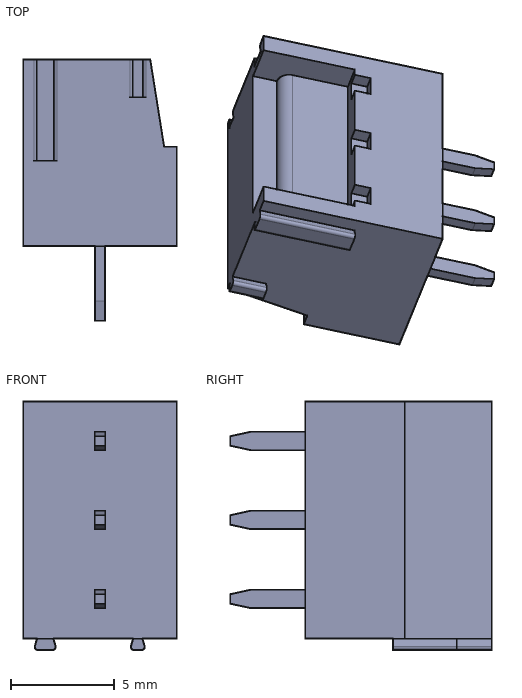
import cadquery as cq
import math

total_depth = 12.6
pin_length = 3.6
pin_pitch = 3.8
pin_count = 3
body_width = 7.4
body_depth = total_depth - pin_length
body_height = 11.43

open_face = body_depth
pin_levels = [body_height / 2 + (i - (pin_count - 1) / 2) * pin_pitch for i in range(pin_count)]

relief_depth = 4.2
relief_step = 0.6
relief_inset = 1.27

recess_wall = 1.0
recess_length = 4.59
recess_depth = 1.21
recess_round = 0.6
recess_deep_length = 1.2

window_reach = 0.8
window_height = 1.1
window_depth = 0.6

pin_thickness = 0.5
pin_height = 0.9
tip_height = 0.47
tip_length = 0.97

dovetail_height = 0.55
dovetail_flare = 0.16
rail_round = 0.15
lip_round = 0.14
groove_clearance = 0.05
large_dovetail = dict(centre=1.06, neck=0.8, groove_length=4.89)
small_dovetail = dict(centre=5.52, neck=0.45, groove_length=1.81)
length_clearance = 0.13


def make_body():
    outline = [
        (0, 0),
        (body_width, 0),
        (body_width, open_face - relief_depth),
        (body_width - relief_step, open_face - relief_depth),
        (body_width - relief_inset, open_face),
        (0, open_face),
    ]
    return cq.Workplane("XY").polyline(outline).close().extrude(body_height)


def make_recess():
    """Pocket whose floor rounds over into a deeper stretch at the open face."""
    deep_start = open_face - recess_deep_length
    deep_floor = recess_depth + recess_round
    arc_start = deep_start - recess_round
    arc_middle = (
        deep_floor - recess_round * math.cos(math.pi / 4),
        arc_start + recess_round * math.sin(math.pi / 4),
    )
    return (
        cq.Workplane("XY", origin=(0, 0, recess_wall))
        .moveTo(0, open_face - recess_length)
        .lineTo(recess_depth, open_face - recess_length)
        .lineTo(recess_depth, arc_start)
        .threePointArc(arc_middle, (deep_floor, deep_start))
        .lineTo(deep_floor, open_face)
        .lineTo(0, open_face)
        .close()
        .extrude(body_height - 2 * recess_wall)
    )


def make_window(level):
    window_start = open_face - recess_length - window_reach
    return cq.Workplane("XY", origin=(0, window_start, level)).box(
        window_depth, window_reach, window_height, centered=(False, False, True)
    )


def make_pin(level):
    shoulder = tip_length - pin_length
    outline = [
        (0, -pin_height / 2),
        (shoulder, -pin_height / 2),
        (-pin_length, -tip_height / 2),
        (-pin_length, tip_height / 2),
        (shoulder, pin_height / 2),
        (0, pin_height / 2),
    ]
    return (
        cq.Workplane("YZ", origin=(body_width / 2, 0, level))
        .polyline(outline)
        .close()
        .extrude(pin_thickness / 2, both=True)
    )


def make_rail(centre, neck, groove_length):
    """Dovetail rail below the body, a little shorter than its groove, with rounded foot edges."""
    half_neck = neck / 2
    half_foot = half_neck + dovetail_flare
    return (
        cq.Workplane("XZ", origin=(centre, open_face, 0))
        .polyline([
            (-half_neck, 0),
            (half_neck, 0),
            (half_foot, -dovetail_height),
            (-half_foot, -dovetail_height),
        ])
        .close()
        .extrude(groove_length - length_clearance)
        .edges("|Y and <Z")
        .fillet(rail_round)
    )


def make_groove(centre, neck, groove_length):
    """Dovetail groove in the top face with rounded lips tangent to the top and the flanks."""
    lean = math.atan2(dovetail_flare, dovetail_height)
    half_neck = (neck - groove_clearance) / 2
    half_floor = half_neck + dovetail_flare
    arc_centre = half_neck + lip_round * (math.tan(lean) + 1 / math.cos(lean))
    flank_x = arc_centre - lip_round * math.cos(lean)
    flank_z = -lip_round * (1 + math.sin(lean))
    narrowest = arc_centre - lip_round
    return (
        cq.Workplane("XZ", origin=(centre, open_face, body_height))
        .moveTo(-arc_centre, 0)
        .threePointArc((-narrowest, -lip_round), (-flank_x, flank_z))
        .lineTo(-half_floor, -dovetail_height)
        .lineTo(half_floor, -dovetail_height)
        .lineTo(flank_x, flank_z)
        .threePointArc((narrowest, -lip_round), (arc_centre, 0))
        .close()
        .extrude(groove_length)
    )


result = make_body().cut(make_recess())
for pin_level in pin_levels:
    result = result.cut(make_window(pin_level)).union(make_pin(pin_level))
for dovetail in (large_dovetail, small_dovetail):
    result = result.cut(make_groove(**dovetail)).union(make_rail(**dovetail))